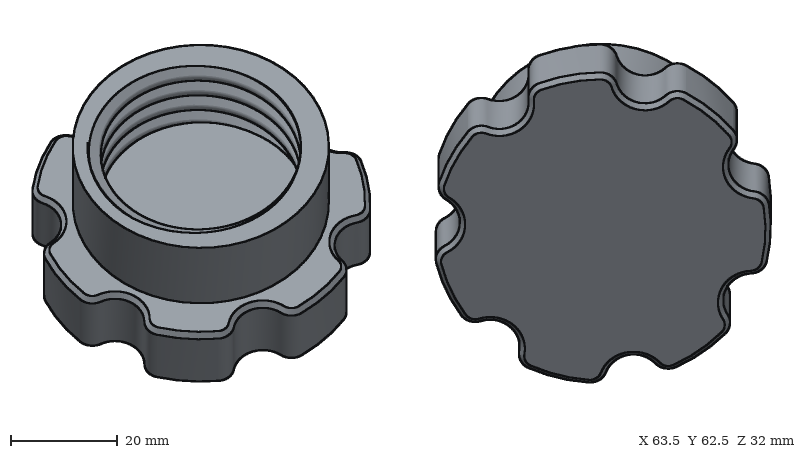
import cadquery as cq
import math

grip_diameter = 63.5
grip_height = 15.0
scallop_count = 7
scallop_radius = 5.5
scallop_center_radius = 32.0
first_scallop_angle = 90.0
lobe_corner_radius = 3.2
grip_chamfer = 1.0

collar_diameter = 48.0
total_height = 32.0
bore_floor_z = grip_height
bore_depth = total_height - bore_floor_z

thread_minor_radius = 37.46 / 2
thread_major_radius = 42.48 / 2
thread_pitch = 4.5
flank_angle = math.radians(30)
crest_flat = thread_pitch / 4
crest_corner_radius = 0.65
rim_crest_angle = 90.0
wall_overlap = 0.1


def make_grip():
    """Round wheel with finger scallops, rounded lobe corners and chamfered rims."""
    wheel = cq.Workplane("XY").circle(grip_diameter / 2).extrude(grip_height)
    scallops = (
        cq.Workplane("XY")
        .polarArray(scallop_center_radius, first_scallop_angle, 360, scallop_count)
        .circle(scallop_radius)
        .extrude(grip_height)
    )
    lobes = wheel.cut(scallops).edges("|Z").fillet(lobe_corner_radius)
    return lobes.faces("<Z or >Z").edges().chamfer(grip_chamfer)


def make_collar():
    return cq.Workplane("XY").circle(collar_diameter / 2).extrude(total_height)


def make_ridge_profile():
    """Section of the thread ridge with rounded crest corners and its base sunk into the wall."""
    corner_turn = math.pi / 2 - flank_angle
    corner_setback = crest_corner_radius * math.tan(corner_turn / 2)
    flat_half_z = crest_flat / 2 - corner_setback

    arc_mid_radius = thread_minor_radius + crest_corner_radius * (1 - math.cos(corner_turn / 2))
    arc_mid_z = flat_half_z + crest_corner_radius * math.sin(corner_turn / 2)
    flank_start_radius = thread_minor_radius + corner_setback * math.cos(flank_angle)
    flank_start_z = crest_flat / 2 + corner_setback * math.sin(flank_angle)
    base_radius = thread_major_radius + wall_overlap
    base_half_z = crest_flat / 2 + (base_radius - thread_minor_radius) * math.tan(flank_angle)

    return (
        cq.Workplane("XZ")
        .moveTo(thread_minor_radius, -flat_half_z)
        .lineTo(thread_minor_radius, flat_half_z)
        .threePointArc((arc_mid_radius, arc_mid_z), (flank_start_radius, flank_start_z))
        .lineTo(base_radius, base_half_z)
        .lineTo(base_radius, -base_half_z)
        .lineTo(flank_start_radius, -flank_start_z)
        .threePointArc((arc_mid_radius, -arc_mid_z), (thread_minor_radius, -flat_half_z))
        .close()
    )


def make_bore():
    """Bore out to the thread's major diameter."""
    floor_plane = cq.Workplane("XY", origin=(0, 0, bore_floor_z))
    return floor_plane.circle(thread_major_radius).extrude(bore_depth)


def make_thread_ridge():
    """Helical ridge, trimmed flush with the bore floor and the rim."""
    turns_below_rim = math.ceil(bore_depth / thread_pitch) + 1
    turns_above_rim = 1
    helix_height = (turns_below_rim + turns_above_rim) * thread_pitch
    helix = cq.Wire.makeHelix(thread_pitch, helix_height, thread_minor_radius)
    ridge = (
        make_ridge_profile()
        .sweep(cq.Workplane(helix), isFrenet=True)
        .rotate((0, 0, 0), (0, 0, 1), rim_crest_angle)
        .translate((0, 0, total_height - turns_below_rim * thread_pitch))
    )
    floor_plane = cq.Workplane("XY", origin=(0, 0, bore_floor_z))
    bore_span = floor_plane.circle(collar_diameter / 2).extrude(bore_depth)
    return ridge.intersect(bore_span)


body = make_grip().union(make_collar()).cut(make_bore())
result = body.union(make_thread_ridge())